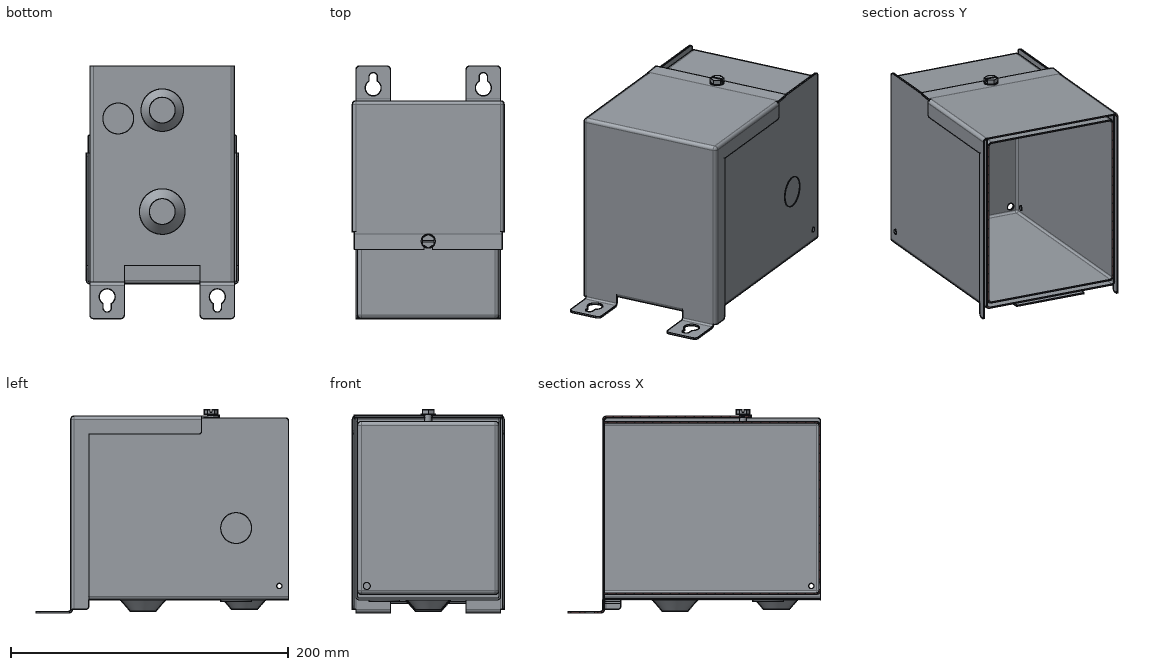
import cadquery as cq
import math


sheet = 1.3
bend_in = 1.3
bend_out = bend_in + sheet
overlap = 0.2

cover_width = 109.5
cover_top = 142.0
cover_back = 157.0
cover_front = 62.7
flange_depth = 13.1
flange_corner = 2.5
strip_bend = 61.2
strip_length = 11.5
strip_angle = 3.0
strip_corner = 1.3
foot_tip = 182.2
foot_corner = 3.0
foot_inner = 27.1
lip_bottom = 7.0

cover_inner_half = cover_width / 2 - sheet
cover_inner_top = cover_top - sheet
cover_inner_back = cover_back - sheet
foot_outer = cover_width / 2 - bend_out
foot_width = foot_outer - foot_inner
foot_center = (foot_outer + foot_inner) / 2

key_radius = 5.6
key_y = 166.3
key_slot_radius = 3.0
key_slot_y = 174.4

housing_half = foot_outer
housing_bottom = 9.5
housing_top = cover_inner_top
housing_back = cover_inner_back
housing_corner = 2.5
knockout_radius = 11.1
knockout_y = 37.9
side_knockout_z = 61.2
side_knockout_depth = 0.5
bottom_knockout_x = -31.7
bottom_knockout_height = 1.3
cone_tip_radius = 9.3
cone_slope = 0.87
cones = [(31.9, 2.5), (105.0, 1.3)]

pan_half = housing_half - sheet
pan_bottom = 13.3
pan_top = 138.1
pan_bend = 3.0
front_hole_x = -44.3
front_hole_radius = 2.5
cross_hole_radius = 1.8
cross_hole_y = 6.7
hole_z = 19.5

screw_y = 56.0
screw_top = 146.5
shank_radius = 2.5
notch_radius = 3.0
washer_bottom = 142.8
washer_height = 0.5
washer_radius = 5.1
hex_flats = 8.5
hex_turn = 30
screw_slot_width = 1.3
screw_slot_depth = 1.8


def block(x0, x1, y0, y1, z0, z1):
    """Box between two corners."""
    return cq.Workplane("XY").box(x1 - x0, y1 - y0, z1 - z0, centered=False).translate((x0, y0, z0))


def along_x(profile, x0, x1):
    """Extrude a YZ profile from x0 to x1."""
    return profile.extrude(x1 - x0).translate((x0, 0, 0))


def vertical_cylinder(x, y, z0, z1, radius):
    return cq.Workplane("XY", origin=(x, y, z0)).circle(radius).extrude(z1 - z0)


def cross_cylinder(y, z, x0, x1, radius):
    return along_x(cq.Workplane("YZ").center(y, z).circle(radius), x0, x1)


def bent_tab(bottom, tip_y):
    """YZ profile of a tab that bends from the cover's back wall to a level plate ending at tip_y."""
    outward = tip_y > cover_back
    near, far = (cover_back, cover_inner_back) if outward else (cover_inner_back, cover_back)
    turn = 1 if outward else -1
    center_y = near + turn * bend_in
    center_z = bottom + bend_out
    diagonal = math.sqrt(0.5)

    def on_bend(radius):
        return (center_y - turn * radius * diagonal, center_z - radius * diagonal)

    return (
        cq.Workplane("YZ")
        .moveTo(far, center_z + overlap)
        .lineTo(far, center_z)
        .threePointArc(on_bend(bend_out), (center_y, bottom))
        .lineTo(tip_y, bottom)
        .lineTo(tip_y, bottom + sheet)
        .lineTo(center_y, bottom + sheet)
        .threePointArc(on_bend(bend_in), (near, center_z))
        .lineTo(near, center_z + overlap)
        .close()
    )


def cover_block(half_width, back, top, radius):
    """Block with rounded back and top bends and sharp front and bottom ends."""
    body = block(-half_width, half_width, cover_front, back, bend_out, top)
    return body.edges("(|Z and >Y) or (|Y and >Z) or (|X and >Y and >Z)").fillet(radius)


def flange_window():
    """Block to cut away from the side walls so that only L-shaped flanges remain."""
    window_top = cover_top - flange_depth
    window_back = cover_back - flange_depth
    half = cover_width / 2 + overlap
    return block(-half, half, cover_front - overlap, window_back, bend_out - overlap, window_top)


def flange_corners(body):
    """Round the free corner at the end of each side flange."""
    front_end = cq.selectors.BoxSelector(
        (-cover_width, cover_front - overlap, cover_top - flange_depth - overlap),
        (cover_width, cover_front + overlap, cover_top - flange_depth + overlap),
    )
    bottom_end = cq.selectors.BoxSelector(
        (-cover_width, cover_back - flange_depth - overlap, bend_out - overlap),
        (cover_width, cover_back - flange_depth + overlap, bend_out + overlap),
    )
    for flange_end in (front_end, bottom_end):
        body = body.edges(flange_end).edges("|X").fillet(flange_corner)
    return body


def front_strip():
    """Narrow strip that continues the cover top and rises toward its free edge, notched for the screw."""
    strip_front = strip_bend - strip_length
    flat = block(
        -cover_inner_half, cover_inner_half, strip_bend, cover_front + overlap, cover_inner_top, cover_top
    )
    raised = (
        block(-cover_inner_half, cover_inner_half, strip_front, strip_bend, cover_inner_top, cover_top)
        .edges("|Z and <Y")
        .fillet(strip_corner)
        .rotate((0, strip_bend, cover_inner_top), (1, strip_bend, cover_inner_top), -strip_angle)
    )
    notch = vertical_cylinder(0, screw_y, pan_top, screw_top, notch_radius).union(
        block(-notch_radius, notch_radius, strip_front - overlap, screw_y, pan_top, screw_top)
    )
    return flat.union(raised).cut(notch)


def foot(center_x):
    """Mounting foot with a keyhole."""
    plate = along_x(bent_tab(0, foot_tip), center_x - foot_width / 2, center_x + foot_width / 2)
    plate = plate.edges("|Z and >Y").fillet(foot_corner)
    keyhole = (
        vertical_cylinder(center_x, key_y, -overlap, bend_out, key_radius)
        .union(vertical_cylinder(center_x, key_slot_y, -overlap, bend_out, key_slot_radius))
        .union(
            block(
                center_x - key_slot_radius, center_x + key_slot_radius, key_y, key_slot_y, -overlap, bend_out
            )
        )
    )
    return plate.cut(keyhole)


def make_cover():
    outer = cover_block(cover_width / 2, cover_back, cover_top, bend_out)
    inner = cover_block(cover_inner_half, cover_inner_back, cover_inner_top, bend_in)
    body = outer.cut(inner).cut(flange_window())
    body = flange_corners(body)
    body = body.cut(block(-foot_inner, foot_inner, cover_inner_back, cover_back, 0, lip_bottom + bend_out))
    lip = along_x(bent_tab(lip_bottom, cover_back - flange_depth), -foot_inner, foot_inner)
    body = body.union(lip).union(front_strip())
    for side in (-1, 1):
        body = body.union(foot(side * foot_center))
    return body


def cone(center_y, tip_z):
    """Boss that tapers downward from the housing floor."""
    top_z = housing_bottom + overlap
    top_radius = cone_tip_radius + cone_slope * (top_z - tip_z)
    profile = (
        cq.Workplane("XZ")
        .polyline([(0, tip_z), (cone_tip_radius, tip_z), (top_radius, top_z), (0, top_z)])
        .close()
    )
    return profile.revolve(360, (0, 0, 0), (0, 1, 0)).translate((0, center_y, 0))


def make_housing():
    outer = block(-housing_half, housing_half, 0, housing_back, housing_bottom, housing_top)
    outer = outer.edges("|Y and <Z").fillet(bend_out)
    inner = block(-pan_half, pan_half, 0, housing_back, housing_bottom + sheet, housing_top)
    inner = inner.edges("|Y and <Z").fillet(bend_in)
    body = outer.cut(inner).edges("|X and >Z").fillet(housing_corner)
    body = body.cut(
        cross_cylinder(
            knockout_y, side_knockout_z, -housing_half, side_knockout_depth - housing_half, knockout_radius
        )
    )
    body = body.cut(cross_cylinder(cross_hole_y, hole_z, -housing_half, housing_half, cross_hole_radius))
    body = body.union(
        vertical_cylinder(
            bottom_knockout_x,
            knockout_y,
            housing_bottom - bottom_knockout_height,
            housing_bottom + overlap,
            knockout_radius,
        )
    )
    for center_y, tip_z in cones:
        body = body.union(cone(center_y, tip_z))
    return body


def make_pan():
    """Rounded pan, open at the back, with a screw hole in its top wall."""
    outer = block(-pan_half, pan_half, 0, housing_back, pan_bottom, pan_top)
    outer = outer.edges("|Y or <Y").fillet(pan_bend)
    body = outer.faces(">Y").shell(-sheet)
    front_hole = (
        cq.Workplane("XZ", origin=(front_hole_x, 0, hole_z)).circle(front_hole_radius).extrude(-2 * pan_bend)
    )
    body = body.cut(front_hole)
    body = body.cut(cross_cylinder(cross_hole_y, hole_z, -pan_half, pan_half, cross_hole_radius))
    return body.cut(vertical_cylinder(0, screw_y, pan_top - sheet, pan_top, shank_radius))


def make_screw():
    """Slotted hex screw with a washer face; its shank ends level with the inside of the pan top."""
    hex_bottom = washer_bottom + washer_height
    hex_corners = 2 * hex_flats / math.sqrt(3)
    head = (
        cq.Workplane("XY", origin=(0, screw_y, hex_bottom))
        .transformed(rotate=(0, 0, hex_turn))
        .polygon(6, hex_corners)
        .extrude(screw_top - hex_bottom)
    )
    slot = block(
        -hex_flats,
        hex_flats,
        screw_y - screw_slot_width / 2,
        screw_y + screw_slot_width / 2,
        screw_top - screw_slot_depth,
        screw_top,
    )
    washer = vertical_cylinder(0, screw_y, washer_bottom, hex_bottom, washer_radius)
    shank = vertical_cylinder(0, screw_y, pan_top - sheet, washer_bottom, shank_radius)
    return head.cut(slot).union(washer).union(shank)


cover = make_cover()
housing = make_housing()
pan = make_pan()
screw = make_screw()

result = cq.Compound.makeCompound([body.solids().val() for body in (cover, housing, pan, screw)])